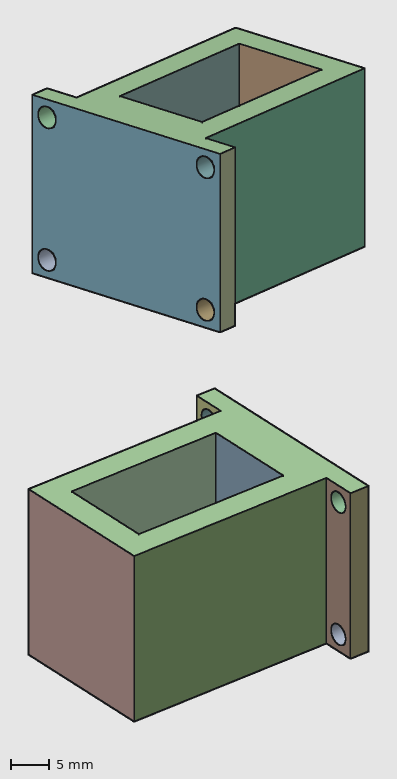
import cadquery as cq

flange_width = 32.0
height = 25.0
flange_thickness = 3.0

total_length = 35.0
body_width = 21.98
wall = 4.0

pocket_width = body_width - 2 * wall
pocket_length = 24.0
pocket_depth = height - wall
pocket_center_y = total_length - wall - pocket_length / 2

hole_diameter = 3.0
hole_edge_distance = 2.52
hole_spacing_x = flange_width - 2 * hole_edge_distance
hole_spacing_z = height - 2 * hole_edge_distance


def block(width, length, tall):
    """Box centered on X, starting at Y = 0 and Z = 0."""
    return cq.Workplane("XY").box(width, length, tall, centered=(True, False, False))


flange = block(flange_width, flange_thickness, height)
body = block(body_width, total_length, height)

pocket = (
    cq.Workplane("XY", origin=(0, pocket_center_y, height))
    .rect(pocket_width, pocket_length)
    .extrude(-pocket_depth)
)

screw_holes = (
    cq.Workplane("XZ", origin=(0, 0, height / 2))
    .rect(hole_spacing_x, hole_spacing_z, forConstruction=True)
    .vertices()
    .circle(hole_diameter / 2)
    .extrude(-flange_thickness)
)

result = flange.union(body).cut(pocket).cut(screw_holes)